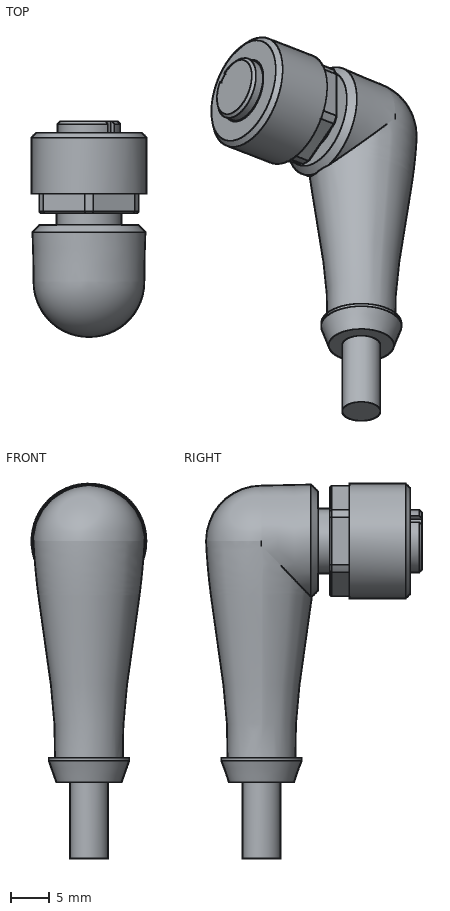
import cadquery as cq


nut_diameter = 15.0
nut_front = 19.35
ring_back = 11.4
nut_back = 8.9
nut_chamfer = 0.65
hex_across_flats = 13.0
hex_across_corners = 14.4
hex_chamfer = 0.25

neck_diameter = 8.5
insert_diameter = 8.2
insert_front = 20.9
insert_chamfer = 0.4
key_width = 1.2
key_radial_depth = 0.7
key_angle = 45
key_length = insert_front - nut_front

barrel_front = 7.35
barrel_radius = 7.35
barrel_chamfer = 0.95
elbow_radius = 7.2

shoulder_radius = 6.7
shoulder_z = -6.35
waist_radius = 5.15
waist_z = -17.1
grip_end_radius = 4.45
collar_top = -28.15
collar_rim_height = 0.4
collar_bottom = -31.4
collar_diameter = 10.5
collar_bottom_diameter = 8.5
cable_diameter = 5.0
cable_length = 48.8 - nut_diameter / 2 + collar_bottom


def along_y(back, front, diameter):
    """Cylinder on the plug axis between two Y positions."""
    return cq.Workplane("XZ", origin=(0, front, 0)).circle(diameter / 2).extrude(front - back)


def make_nut():
    """Round ring with a hexagonal back end whose corners are turned down."""
    ring = along_y(ring_back, nut_front, nut_diameter).faces(">Y").edges().chamfer(nut_chamfer)
    hex_length = ring_back - nut_back
    hexagon = (
        cq.Workplane("XZ", origin=(0, ring_back, 0))
        .polygon(6, hex_across_flats, circumscribed=True)
        .extrude(hex_length)
    )
    corner_limit = along_y(nut_back, ring_back, hex_across_corners)
    hexagon = hexagon.intersect(corner_limit).faces("<Y").edges().chamfer(hex_chamfer)
    return ring.union(hexagon).cut(along_y(nut_back, nut_front, neck_diameter))


def make_insert():
    """Neck through the nut, ending in the keyed contact insert."""
    neck = along_y(0, nut_front, neck_diameter)
    insert = along_y(0, insert_front, insert_diameter).faces(">Y").edges().chamfer(insert_chamfer)
    keyway = (
        cq.Workplane("XZ", origin=(0, insert_front, 0))
        .transformed(rotate=(0, 0, key_angle))
        .center(insert_diameter / 2, 0)
        .rect(2 * key_radial_depth, key_width)
        .extrude(key_length)
    )
    return neck.union(insert.cut(keyway))


def make_barrel():
    """Horizontal arm of the elbow, tapering slightly towards the bend."""
    shoulder_y = barrel_front - barrel_chamfer
    return (
        cq.Workplane("XY")
        .lineTo(elbow_radius, 0)
        .lineTo(barrel_radius, shoulder_y)
        .lineTo(barrel_radius - barrel_chamfer, barrel_front)
        .lineTo(0, barrel_front)
        .close()
        .revolve(360, (0, 0, 0), (0, 1, 0))
    )


def make_grip():
    """Domed elbow and curved taper, turned about the cable axis."""
    dome_mid = elbow_radius / 2**0.5
    return (
        cq.Workplane("XZ")
        .moveTo(0, elbow_radius)
        .threePointArc((dome_mid, dome_mid), (elbow_radius, 0))
        .spline(
            [(shoulder_radius, shoulder_z), (waist_radius, waist_z), (grip_end_radius, collar_top)],
            includeCurrent=True,
        )
        .lineTo(0, collar_top)
        .close()
        .revolve(360, (0, 0, 0), (0, 1, 0))
    )


def make_collar():
    """Flared collar at the end of the grip."""
    return (
        cq.Workplane("XZ")
        .moveTo(0, collar_top)
        .lineTo(collar_diameter / 2, collar_top)
        .lineTo(collar_diameter / 2, collar_top - collar_rim_height)
        .lineTo(collar_bottom_diameter / 2, collar_bottom)
        .lineTo(0, collar_bottom)
        .close()
        .revolve(360, (0, 0, 0), (0, 1, 0))
    )


def make_cable():
    """Cable leaving the collar downwards."""
    start = cq.Workplane("XY", origin=(0, 0, collar_bottom))
    return start.circle(cable_diameter / 2).extrude(-cable_length)


def make_housing():
    """Moulded elbow together with its insert, collar and cable."""
    housing = make_grip()
    for section in (make_barrel(), make_insert(), make_collar(), make_cable()):
        housing = housing.union(section)
    return housing


nut = make_nut()
housing = make_housing()

result = cq.Compound.makeCompound([nut.solids().val(), housing.solids().val()])